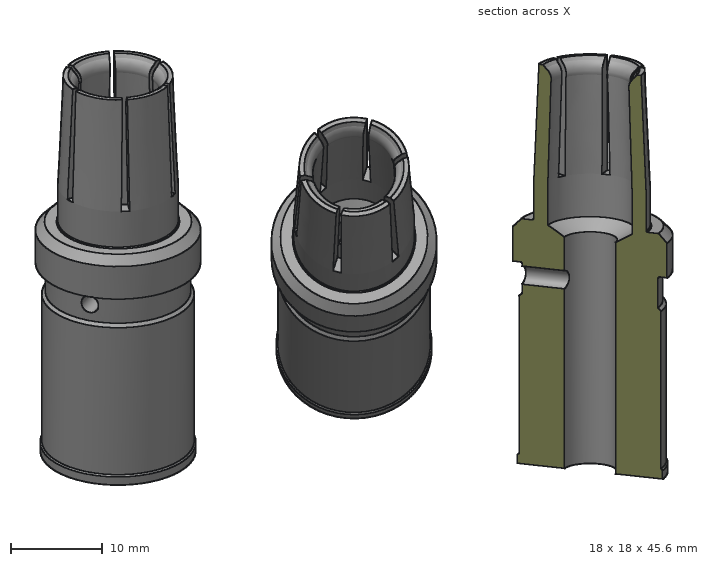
import cadquery as cq
import math

total_height = 45.6
rim_top = 1.0
barrel_top = 19.43
collar_bottom = 22.9
collar_top = 27.85
finger_root = 32.35
bore_depth = 4.9

rim_radius = 8.5
barrel_radius = 8.3
neck_radius = 7.95
collar_radius = 18.0 / 2
socket_radius = 6.55
tip_radius = 5.97

rim_bevel = rim_radius - barrel_radius
barrel_chamfer = barrel_radius - neck_radius
collar_chamfer = 1.0
root_bevel = 0.15

passage_radius = 2.95
bore_radius = 4.9
lip_radius = 4.5
lip_top_radius = 5.1
mouth_radius = 5.43
mouth_depth = 0.4
lip_depth = 1.9
drill_point_angle = 118

slot_count = 6
slot_root_width = 0.9
slot_tip_width = 0.55

inspection_diameter = 2.0
inspection_height = 21.45


def make_outer_body():
    outline = [
        (0, 0),
        (rim_radius, 0),
        (rim_radius, rim_top),
        (barrel_radius, rim_top + rim_bevel),
        (barrel_radius, barrel_top - barrel_chamfer),
        (neck_radius, barrel_top),
        (neck_radius, collar_bottom - root_bevel),
        (neck_radius + root_bevel, collar_bottom),
        (collar_radius, collar_bottom),
        (collar_radius, collar_top - collar_chamfer),
        (collar_radius - collar_chamfer, collar_top),
        (socket_radius + root_bevel, collar_top),
        (socket_radius, collar_top + root_bevel),
        (socket_radius, finger_root),
        (tip_radius, total_height),
        (0, total_height),
    ]
    return cq.Workplane("XZ").polyline(outline).close().revolve(360, (0, 0), (0, 1))


def make_bore():
    """Through passage, drill-point floor, socket bore and rounded entry lip."""
    bore_floor = finger_root - bore_depth
    cone_height = (bore_radius - passage_radius) / math.tan(math.radians(drill_point_angle / 2))
    lip_top = total_height - mouth_depth
    lip_bottom = total_height - lip_depth
    bulge = math.sin(math.radians(45))
    lip_middle = (
        lip_top_radius - bulge * (lip_top_radius - lip_radius),
        lip_bottom + bulge * (lip_top - lip_bottom),
    )
    return (
        cq.Workplane("XZ")
        .moveTo(0, 0)
        .lineTo(passage_radius, 0)
        .lineTo(passage_radius, bore_floor - cone_height)
        .lineTo(bore_radius, bore_floor)
        .lineTo(bore_radius, finger_root)
        .lineTo(lip_radius, lip_bottom)
        .threePointArc(lip_middle, (lip_top_radius, lip_top))
        .lineTo(mouth_radius, total_height)
        .lineTo(0, total_height)
        .close()
        .revolve(360, (0, 0), (0, 1))
    )


def make_slot(angle):
    """Tapered slot reaching outwards along +X, turned about Z."""
    section = [
        (-slot_root_width / 2, finger_root),
        (slot_root_width / 2, finger_root),
        (slot_tip_width / 2, total_height),
        (-slot_tip_width / 2, total_height),
    ]
    slot = cq.Workplane("YZ").polyline(section).close().extrude(collar_radius)
    return slot.rotate((0, 0, 0), (0, 0, 1), angle)


def make_inspection_hole():
    return (
        cq.Workplane("XZ")
        .center(0, inspection_height)
        .circle(inspection_diameter / 2)
        .extrude(collar_radius)
    )


result = make_outer_body().cut(make_bore())
for index in range(slot_count):
    result = result.cut(make_slot(index * 360 / slot_count))
result = result.cut(make_inspection_hole())